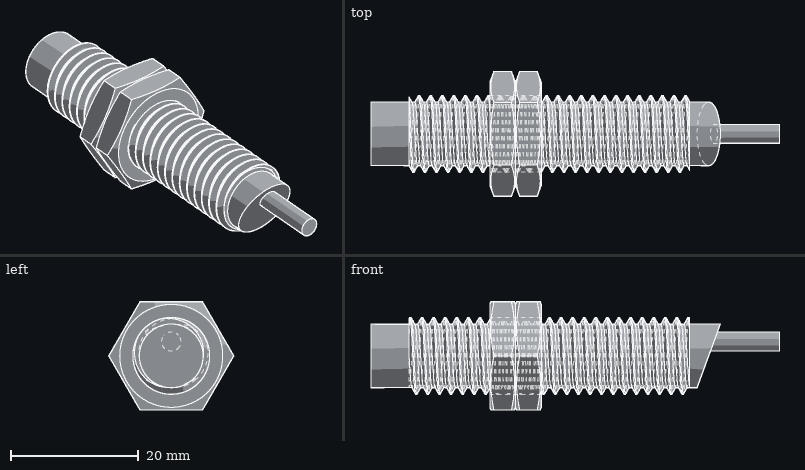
import cadquery as cq
import math

total_length = 64.1

barrel_radius = 5.0
barrel_top_end = 54.8
barrel_bottom_end = 51.15

thread_start = 6.0
thread_end = 50.0
thread_radius = 6.0
thread_turns = 24
crest_inset = 0.2
tooth_base_width = 1.35
tooth_crest_width = 0.2
tooth_root_overlap = 0.05
runout_turns = 1
pitch = (thread_end - thread_start - 2 * crest_inset) / thread_turns

cable_radius = 1.505
cable_height = 2.25

nut_start = 18.65
nut_thickness = 4.05
nut_count = 2
across_flats = 17.0
across_corners = across_flats / math.cos(math.radians(30))
corner_radius = across_corners / 2
nut_face_radius = 8.1
nut_chamfer_depth = 0.65


def cylinder(start, length, radius, height=0.0):
    """Cylinder along +X whose axis lies at Z = height."""
    return cq.Workplane("YZ", origin=(start, 0, height)).circle(radius).extrude(length)


def make_barrel():
    """Plain barrel with a slanted rear end."""
    side_outline = (
        cq.Workplane("XZ")
        .moveTo(0, -barrel_radius)
        .lineTo(barrel_bottom_end, -barrel_radius)
        .lineTo(barrel_top_end, barrel_radius)
        .lineTo(0, barrel_radius)
        .close()
        .extrude(barrel_radius, both=True)
    )
    return cylinder(0, barrel_top_end, barrel_radius).intersect(side_outline)


def make_thread():
    """Helical tooth, overrun at both ends and trimmed to the thread length."""
    helix_start = thread_start + crest_inset - runout_turns * pitch
    helix_length = (thread_turns + 2 * runout_turns) * pitch
    helix = cq.Wire.makeHelix(
        pitch, helix_length, barrel_radius, center=cq.Vector(0, 0, 0), dir=cq.Vector(0, 0, 1)
    )
    flank_slope = (tooth_base_width - tooth_crest_width) / 2 / (thread_radius - barrel_radius)
    half_root = tooth_base_width / 2 + tooth_root_overlap * flank_slope
    half_crest = tooth_crest_width / 2
    root_radius = barrel_radius - tooth_root_overlap
    tooth = (
        cq.Workplane("XZ")
        .moveTo(root_radius, -half_root)
        .lineTo(thread_radius, -half_crest)
        .lineTo(thread_radius, half_crest)
        .lineTo(root_radius, half_root)
        .close()
        .sweep(cq.Workplane(helix), isFrenet=True)
    )
    tooth = (
        tooth.rotate((0, 0, 0), (0, 0, 1), 180)
        .rotate((0, 0, 0), (0, 1, 0), 90)
        .translate((helix_start, 0, 0))
    )
    trim = cylinder(thread_start, thread_end - thread_start, 2 * thread_radius)
    return tooth.intersect(trim)


def make_sensor():
    """Threaded barrel with its cable, one solid."""
    barrel = make_barrel()
    cable = cylinder(thread_end, total_length - thread_end, cable_radius, cable_height)
    return barrel.union(cable).union(make_thread())


def make_nut_blank(start):
    """Hexagon with corners on +Y and -Y, chamfered on both faces."""
    hexagon = cq.Workplane("YZ", origin=(start, 0, 0)).polygon(6, across_corners).extrude(nut_thickness)
    chamfer_envelope = (
        cq.Workplane("XY", origin=(start, 0, 0))
        .lineTo(0, nut_face_radius)
        .lineTo(nut_chamfer_depth, corner_radius)
        .lineTo(nut_thickness - nut_chamfer_depth, corner_radius)
        .lineTo(nut_thickness, nut_face_radius)
        .lineTo(nut_thickness, 0)
        .close()
        .revolve(360, (0, 0, 0), (1, 0, 0))
    )
    return hexagon.intersect(chamfer_envelope)


def make_lock_nut():
    """Hexagons joined face to face, bored to clear the thread crests."""
    blank = make_nut_blank(nut_start)
    for index in range(1, nut_count):
        blank = blank.union(make_nut_blank(nut_start + index * nut_thickness))
    return blank.cut(cylinder(nut_start, nut_count * nut_thickness, thread_radius))


sensor = make_sensor()
lock_nut = make_lock_nut()

result = cq.Compound.makeCompound([sensor.solids().val(), lock_nut.solids().val()])